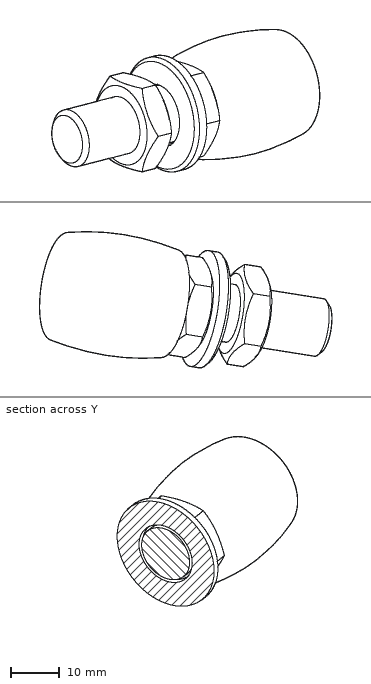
import cadquery as cq
import math

TOTAL_LENGTH = 58.0

BARREL_LENGTH = 25.0
BARREL_MID_RADIUS = 12.5
BARREL_END_RADIUS = 11.0
BARREL_EDGE_FILLET = 1.0

STUD_RADIUS = 6.0
STUD_CHAMFER = 1.0

NUT_HEIGHT = 6.0
NUT_ACROSS_FLATS = 18.0
NUT_FACE_RADIUS = 8.3
NUT_CHAMFER_HEIGHT = 1.2
OUTER_NUT_START = 14.3

WASHER_RADIUS = 12.0
WASHER_BORE_RADIUS = 6.5
WASHER_THICKNESS = 2.65
WASHER_CHAMFER = 0.75

barrel_start = TOTAL_LENGTH - BARREL_LENGTH
inner_nut_start = barrel_start - NUT_HEIGHT
washer_start = inner_nut_start - WASHER_THICKNESS


def cylinder(radius, start, length):
    """Solid cylinder along +Y from the given start."""
    return cq.Workplane("XZ", origin=(0, start, 0)).circle(radius).extrude(-length)


def revolve_about_y(profile):
    """Revolve a closed XY profile a full turn about the Y axis."""
    return profile.revolve(360, (0, 0, 0), (0, 1, 0))


def make_barrel():
    """Solid barrel with an arched side and rounded end edges."""
    profile = (
        cq.Workplane("XY")
        .moveTo(0, barrel_start)
        .lineTo(BARREL_END_RADIUS, barrel_start)
        .threePointArc(
            (BARREL_MID_RADIUS, barrel_start + BARREL_LENGTH / 2),
            (BARREL_END_RADIUS, TOTAL_LENGTH),
        )
        .lineTo(0, TOTAL_LENGTH)
        .close()
    )
    return revolve_about_y(profile).faces("<Y or >Y").edges().fillet(BARREL_EDGE_FILLET)


def make_stud():
    """Plain stud that ends against the barrel face, chamfered at its free end."""
    return cylinder(STUD_RADIUS, 0, barrel_start).faces("<Y").edges().chamfer(STUD_CHAMFER)


def make_washer():
    """Washer with a loose bore around the stud, chamfered on the side away from the barrel."""
    disc = cylinder(WASHER_RADIUS, washer_start, WASHER_THICKNESS)
    disc = disc.faces("<Y").edges().chamfer(WASHER_CHAMFER)
    return disc.cut(cylinder(WASHER_BORE_RADIUS, washer_start, WASHER_THICKNESS))


def make_nut(start):
    """Hexagon nut with both ends turned to a cone that meets the corners."""
    corner_radius = NUT_ACROSS_FLATS / math.sqrt(3)
    end = start + NUT_HEIGHT
    hexagon = (
        cq.Workplane("XZ", origin=(0, start, 0))
        .polygon(6, 2 * corner_radius)
        .extrude(-NUT_HEIGHT)
    )
    turned_blank = revolve_about_y(
        cq.Workplane("XY").polyline([
            (0, start),
            (NUT_FACE_RADIUS, start),
            (corner_radius, start + NUT_CHAMFER_HEIGHT),
            (corner_radius, end - NUT_CHAMFER_HEIGHT),
            (NUT_FACE_RADIUS, end),
            (0, end),
        ]).close()
    )
    bore = cylinder(STUD_RADIUS, start, NUT_HEIGHT)
    return hexagon.intersect(turned_blank).cut(bore)


barrel = make_barrel()
stud = make_stud()
washer = make_washer()
nuts = [make_nut(start).val() for start in (OUTER_NUT_START, inner_nut_start)]

result = cq.Compound.makeCompound([barrel.val(), stud.val(), washer.val(), *nuts])